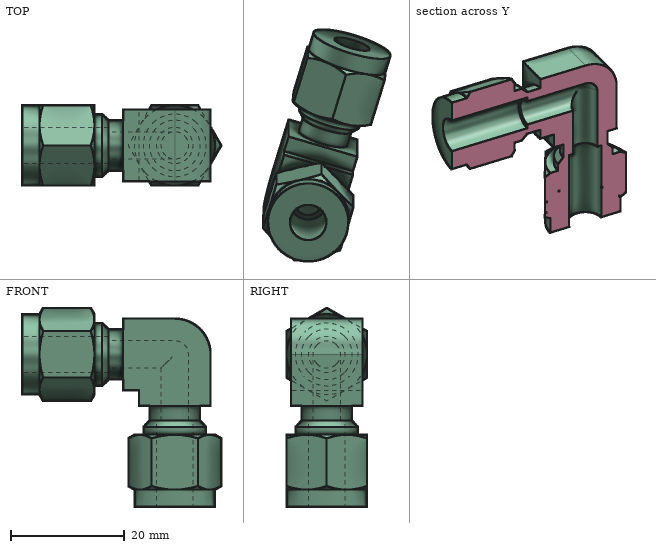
import cadquery as cq
import math


block_width = 12.7
block_half = block_width / 2
block_reach = 9.1

arm_length = 26.93
neck_diameter = 8.95
sleeve_diameter = 11.1
sleeve_cone_length = 1.15
sleeve_straight_length = 1.35

nut_across_flats = 14.22
nut_corner_radius = nut_across_flats / math.sqrt(3)
nut_chamfer_angle = 30
nut_hex_length = 9.7
collar_length = 3.05
collar_diameter = 14.2

tube_bore_diameter = 6.4
tube_bore_depth = 15.2
flow_bore_diameter = 4.83

hex_outer_end = arm_length - collar_length
hex_inner_end = hex_outer_end - nut_hex_length
cone_outer_end = hex_inner_end - sleeve_straight_length
cone_inner_end = cone_outer_end - sleeve_cone_length
tube_bore_bottom = arm_length - tube_bore_depth


def along_z(height):
    """Horizontal workplane at the given height on the arm axis."""
    return cq.Workplane("XY", origin=(0, 0, height))


def make_block():
    """L-shaped block with a rounded outer corner and a notched inner corner."""
    arc_offset = block_half * math.sqrt(0.5)
    return (
        cq.Workplane("XZ")
        .moveTo(-block_reach, block_half)
        .lineTo(0, block_half)
        .threePointArc((arc_offset, arc_offset), (block_half, 0))
        .lineTo(block_half, -block_reach)
        .lineTo(-block_half, -block_reach)
        .lineTo(-block_half, -block_half)
        .lineTo(-block_reach, -block_half)
        .close()
        .extrude(block_half, both=True)
    )


def make_hex_nut():
    """Hexagon with its corners along X, coned off at both ends."""
    flat_radius = nut_across_flats / 2
    chamfer_length = (nut_corner_radius - flat_radius) * math.tan(math.radians(nut_chamfer_angle))
    hexagon = along_z(hex_inner_end).polygon(6, 2 * nut_corner_radius).extrude(nut_hex_length)
    envelope = (
        cq.Workplane("XZ")
        .moveTo(0, hex_inner_end)
        .lineTo(flat_radius, hex_inner_end)
        .lineTo(nut_corner_radius, hex_inner_end + chamfer_length)
        .lineTo(nut_corner_radius, hex_outer_end - chamfer_length)
        .lineTo(flat_radius, hex_outer_end)
        .lineTo(0, hex_outer_end)
        .close()
        .revolve(360, (0, 0, 0), (0, 1, 0))
    )
    return hexagon.intersect(envelope)


def make_neck_and_sleeve():
    """Round neck that starts inside the block and flares out to the sleeve under the nut."""
    neck_radius = neck_diameter / 2
    sleeve_radius = sleeve_diameter / 2
    return (
        cq.Workplane("XZ")
        .lineTo(neck_radius, 0)
        .lineTo(neck_radius, cone_inner_end)
        .lineTo(sleeve_radius, cone_outer_end)
        .lineTo(sleeve_radius, hex_outer_end)
        .lineTo(0, hex_outer_end)
        .close()
        .revolve(360, (0, 0, 0), (0, 1, 0))
    )


def make_arm():
    """One solid arm, pointing along +Z."""
    collar = along_z(hex_outer_end).circle(collar_diameter / 2).extrude(collar_length)
    return make_neck_and_sleeve().union(make_hex_nut()).union(collar)


def make_arm_bore():
    """Tube socket and the narrower flow passage behind it, pointing along +Z."""
    flow_bore = along_z(0).circle(flow_bore_diameter / 2).extrude(arm_length)
    tube_bore = along_z(tube_bore_bottom).circle(tube_bore_diameter / 2).extrude(tube_bore_depth)
    return flow_bore.union(tube_bore)


def turn_about_y(shape, angle):
    """Swing a +Z arm feature about the axis crossing."""
    return shape.rotate((0, 0, 0), (0, 1, 0), angle)


arm_angles = (-90, 180)

result = make_block()
for arm_angle in arm_angles:
    result = result.union(turn_about_y(make_arm(), arm_angle))
for arm_angle in arm_angles:
    result = result.cut(turn_about_y(make_arm_bore(), arm_angle))

result = result.cut(cq.Workplane("XY").sphere(flow_bore_diameter / 2))